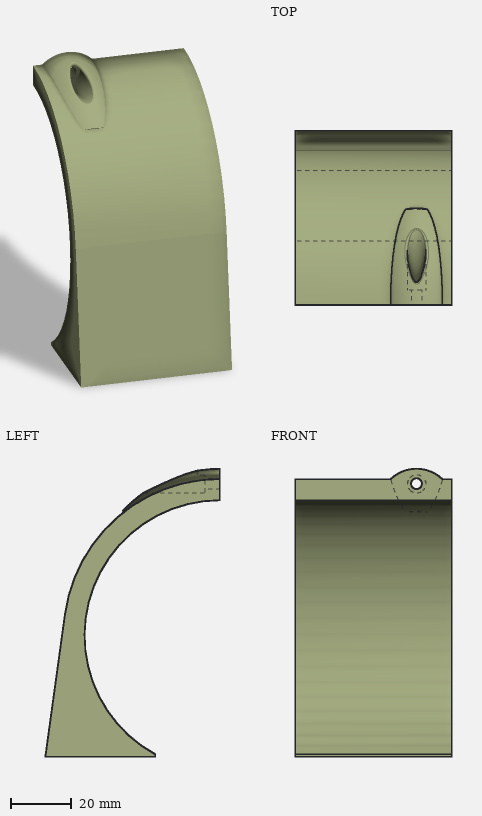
import cadquery as cq
import math

WIDTH = 51.7
ARCH_AXIS_Z = 40.0
INNER_RADIUS = 44.5
WALL = 7.0
OUTER_RADIUS = INNER_RADIUS + WALL
BASE_BACK_Y = 57.5
TOE_HEIGHT = 0.9

BOSS_X = 40.0
BOSS_TOP_Z = 94.95
BOSS_ARC_RADIUS = 12.3
BOSS_TURN_RADIUS = 43.7
BOSS_TURN_ANGLE = 47.0
BOSS_TURN_AXIS_Z = BOSS_TOP_Z - BOSS_TURN_RADIUS

HOLE_Z = 90.0
HOLE_DIAMETER = 3.5
COUNTERBORE_DIAMETER = 6.0
COUNTERBORE_START_Y = 5.0
MOUTH_FILLET = 0.7


def arch_point(radius, angle):
    """Point (Y, Z) at an angle in radians above the +Y direction, about the arch axis."""
    return (radius * math.cos(angle), ARCH_AXIS_Z + radius * math.sin(angle))


def make_arch():
    """Arch whose outside runs down to the base along a straight tangent back face."""
    base_distance = math.hypot(BASE_BACK_Y, ARCH_AXIS_Z)
    tangent_angle = math.acos(OUTER_RADIUS / base_distance) - math.atan2(ARCH_AXIS_Z, BASE_BACK_Y)
    toe_angle = -math.asin((ARCH_AXIS_Z - TOE_HEIGHT) / INNER_RADIUS)
    top_angle = math.pi / 2
    toe = arch_point(INNER_RADIUS, toe_angle)
    return (
        cq.Workplane("YZ")
        .moveTo(*arch_point(INNER_RADIUS, top_angle))
        .lineTo(*arch_point(OUTER_RADIUS, top_angle))
        .threePointArc(
            arch_point(OUTER_RADIUS, (top_angle + tangent_angle) / 2),
            arch_point(OUTER_RADIUS, tangent_angle),
        )
        .lineTo(BASE_BACK_Y, 0)
        .lineTo(toe[0], 0)
        .lineTo(*toe)
        .threePointArc(
            arch_point(INNER_RADIUS, (top_angle + toe_angle) / 2),
            arch_point(INNER_RADIUS, top_angle),
        )
        .close()
        .extrude(WIDTH)
    )


def make_boss():
    """Partial turn of a round-topped section whose sides reach down to the turning axis."""
    chord_z = ARCH_AXIS_Z + OUTER_RADIUS - WALL / 2
    chord_drop = BOSS_TOP_Z - chord_z
    half_chord = math.sqrt(BOSS_ARC_RADIUS**2 - (BOSS_ARC_RADIUS - chord_drop) ** 2)
    left = BOSS_X - half_chord
    right = BOSS_X + half_chord
    return (
        cq.Workplane("XZ")
        .moveTo(left, chord_z)
        .threePointArc((BOSS_X, BOSS_TOP_Z), (right, chord_z))
        .lineTo(right, BOSS_TURN_AXIS_Z)
        .lineTo(left, BOSS_TURN_AXIS_Z)
        .close()
        .revolve(BOSS_TURN_ANGLE, (right, BOSS_TURN_AXIS_Z), (left, BOSS_TURN_AXIS_Z))
    )


def make_bore(diameter, start_y):
    """Cylinder along +Y on the hole axis, from start_y past the back of the part."""
    start = cq.Plane(origin=(BOSS_X, start_y, HOLE_Z), xDir=(0, 0, -1), normal=(0, 1, 0))
    return cq.Workplane(start).circle(diameter / 2).extrude(BASE_BACK_Y)


def make_arch_opening():
    """Cylinder that fills the inside of the arch."""
    return (
        cq.Workplane("YZ")
        .center(0, ARCH_AXIS_Z)
        .circle(INNER_RADIUS)
        .extrude(WIDTH)
    )


def round_mouth(body):
    """Round the edge where the counterbore breaks out; it is the only edge centred near the hole axis."""
    reach = COUNTERBORE_DIAMETER / 4
    mouth = cq.selectors.BoxSelector(
        (BOSS_X - reach, COUNTERBORE_START_Y + MOUTH_FILLET, HOLE_Z - reach),
        (BOSS_X + reach, BASE_BACK_Y, HOLE_Z + reach),
    )
    return body.edges(mouth).fillet(MOUTH_FILLET)


boss = make_boss().cut(make_arch_opening())
hole = make_bore(HOLE_DIAMETER, 0).union(make_bore(COUNTERBORE_DIAMETER, COUNTERBORE_START_Y))
result = make_arch().union(boss).cut(hole)
result = round_mouth(result)